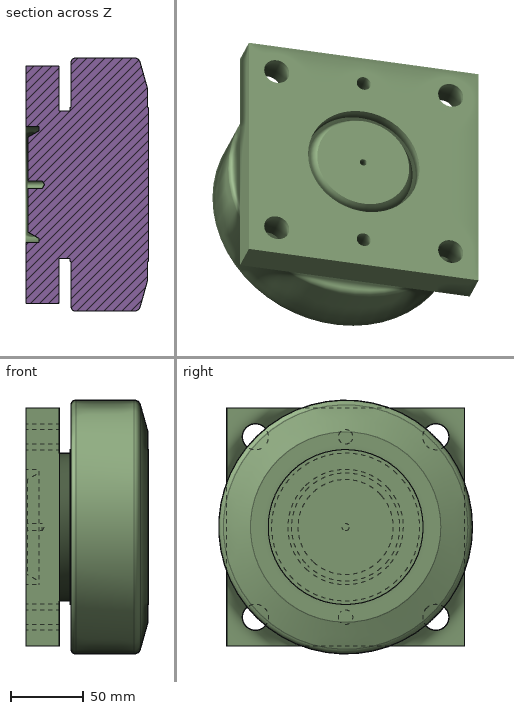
import cadquery as cq
import math

plate_side = 165.0
plate_thickness = 23.2
bolt_spacing = 125.0
bolt_hole_diameter = 18.0
pin_hole_diameter = 10.0
pin_hole_spacing = bolt_spacing
seat_diameter = 80.0

stub_recess = 1.2
stub_diameter = 75.0
stub_end_diameter = 66.0
stub_chamfer_length = 7.8
grease_hole_diameter = 5.0
grease_hole_depth = 10.0
drill_point_angle = math.radians(118)
hub_diameter = 102.6

overall_length = 85.0
roller_radius = 88.0
roller_start = 31.1
inner_ring_start = 30.4
inner_ring_radius = 53.7
rear_fillet = 3.5
front_fillet = 4.5
front_fillet_start = 75.0
front_cone_end = 84.6
front_boss_radius = inner_ring_radius
cone_slope = math.radians(74.3)


def disc(diameter, start, end):
    """Cylinder on the X axis between two X positions."""
    return cq.Workplane("YZ", origin=(start, 0, 0)).circle(diameter / 2).extrude(end - start)


def make_plate():
    plate = cq.Workplane("YZ").rect(plate_side, plate_side).extrude(plate_thickness)
    bolt_holes = (
        cq.Workplane("YZ")
        .rect(bolt_spacing, bolt_spacing, forConstruction=True)
        .vertices()
        .circle(bolt_hole_diameter / 2)
        .extrude(plate_thickness)
    )
    pin_holes = (
        cq.Workplane("YZ")
        .pushPoints([(0, pin_hole_spacing / 2), (0, -pin_hole_spacing / 2)])
        .circle(pin_hole_diameter / 2)
        .extrude(plate_thickness)
    )
    return plate.cut(bolt_holes).cut(pin_holes).cut(disc(seat_diameter, 0, plate_thickness))


def make_roller():
    """Revolved tyre with a rounded rear edge and a rounded, coned front edge."""
    rear_mid = rear_fillet * (1 - math.sqrt(0.5))
    half_slope = cone_slope / 2
    arc_centre_radius = roller_radius - front_fillet
    arc_mid = (
        front_fillet_start + front_fillet * math.sin(half_slope),
        arc_centre_radius + front_fillet * math.cos(half_slope),
    )
    arc_end = (
        front_fillet_start + front_fillet * math.sin(cone_slope),
        arc_centre_radius + front_fillet * math.cos(cone_slope),
    )
    cone_end_radius = arc_end[1] - (front_cone_end - arc_end[0]) * math.tan(cone_slope)
    return (
        cq.Workplane("XY")
        .moveTo(roller_start, 0)
        .lineTo(roller_start, roller_radius - rear_fillet)
        .threePointArc(
            (roller_start + rear_mid, roller_radius - rear_mid),
            (roller_start + rear_fillet, roller_radius),
        )
        .lineTo(front_fillet_start, roller_radius)
        .threePointArc(arc_mid, arc_end)
        .lineTo(front_cone_end, cone_end_radius)
        .lineTo(front_cone_end, 0)
        .close()
        .revolve(360, (0, 0, 0), (1, 0, 0))
    )


def make_stub():
    stub = disc(seat_diameter, stub_recess + stub_chamfer_length, plate_thickness)
    cone = (
        cq.Workplane("YZ", origin=(stub_recess, 0, 0))
        .circle(stub_end_diameter / 2)
        .workplane(offset=stub_chamfer_length)
        .circle(stub_diameter / 2)
        .loft()
    )
    return stub.union(cone)


def make_grease_hole():
    """Blind drilled hole with a conical drill point."""
    radius = grease_hole_diameter / 2
    bottom = stub_recess + grease_hole_depth
    tip = bottom + radius / math.tan(drill_point_angle / 2)
    return (
        cq.Workplane("XY")
        .polyline([(0, 0), (0, radius), (bottom, radius), (tip, 0)])
        .close()
        .revolve(360, (0, 0, 0), (1, 0, 0))
    )


body = make_plate().union(make_stub())
body = body.union(disc(hub_diameter, plate_thickness, roller_start))
body = body.union(disc(2 * inner_ring_radius, inner_ring_start, roller_start))
body = body.union(make_roller())
body = body.union(disc(2 * front_boss_radius, front_cone_end, overall_length))
result = body.cut(make_grease_hole())